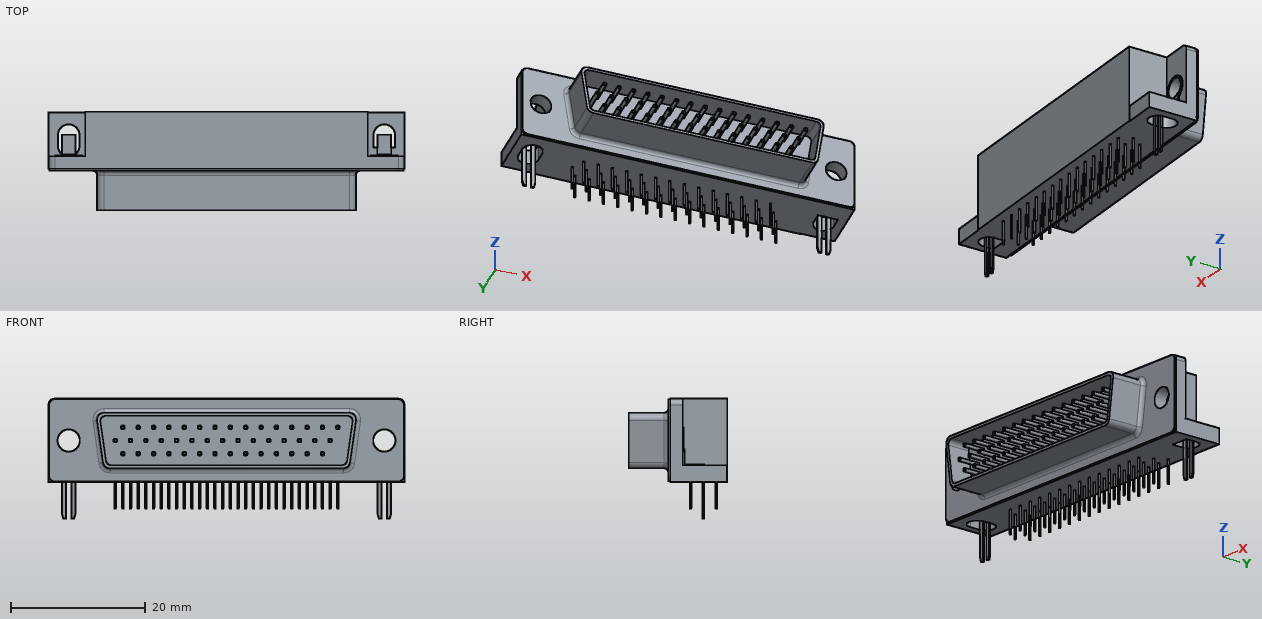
import cadquery as cq
import math


overall_length = 53.1
body_height = 12.5
body_length = 42.15
flange_back = 6.65
flange_front = 8.5
flange_corner = 0.95
foot_back = 0.1
foot_height = 2.55

plate_front = 8.8
plate_inset = 0.1
plate_corner = flange_corner - plate_inset

mount_x = 23.5
mount_z = 6.2
mount_diameter = 3.3

shell_front = 14.7
shell_height = 8.3
shell_mid_length = 37.75
shell_floor = 10.8
shell_wall = 0.5
shell_corner = 1.0
shell_inner_corner = 0.75
shell_side_angle = math.radians(8)
shell_root_fillet = 0.65

pin_diameter = 0.6
pin_tip_diameter = 0.4
pin_tip_length = 0.08
pin_front = 14.5
pins_in_long_row = 15
pins_in_short_row = 14
contact_span = 33.2
pin_pitch = contact_span / (pins_in_long_row - 0.5)
pin_row_spacing = 1.95
leg_diameter = 0.3
leg_tip_diameter = 0.2
leg_tip_length = 0.15
leg_length = 3.95
leg_row_spacing = 1.9
middle_leg_depth = 3.55

slot_width = 3.2
slot_back = 1.9
slot_front = 6.7
square_slot_front = 5.3

lock_thickness = 0.3
lock_head_thickness = 0.15
lock_width = 2.05
lock_head_diameter = 4.0
lock_rise = 0.15
lock_prong_width = 0.65
lock_prong_length = 5.4
lock_tip_length = 0.75
lock_tip_inset = 0.2


def box(x_center, length, depth_back, depth_front, z_bottom, z_top):
    """Block between two depths measured from the back of the body and two heights."""
    return (
        cq.Workplane("XY")
        .box(length, depth_front - depth_back, z_top - z_bottom, centered=(True, False, False))
        .translate((x_center, -depth_front, z_bottom))
    )


def cylinder_along_y(x, z, diameter, depth_back, depth_front):
    return (
        cq.Workplane("XZ", origin=(x, -depth_back, z))
        .circle(diameter / 2)
        .extrude(depth_front - depth_back)
    )


def d_prism(offset, corner, depth_back, depth_front):
    """Prism on the shell outline, moved inward by offset, wider at the top."""
    half_height = shell_height / 2 - offset
    half_mid = shell_mid_length / 2 - offset / math.cos(shell_side_angle)
    lean = half_height * math.tan(shell_side_angle)
    return (
        cq.Workplane("XZ", origin=(0, -depth_back, mount_z))
        .polyline([
            (-half_mid - lean, half_height),
            (half_mid + lean, half_height),
            (half_mid - lean, -half_height),
            (-half_mid + lean, -half_height),
        ])
        .close()
        .extrude(depth_front - depth_back)
        .edges("|Y")
        .fillet(corner)
    )


def tipped_rod(diameter, tip_diameter, tip_length, length):
    """Round rod along +Z from the origin with a conical tip."""
    return (
        cq.Workplane("XZ")
        .polyline([
            (0, 0),
            (diameter / 2, 0),
            (diameter / 2, length - tip_length),
            (tip_diameter / 2, length),
            (0, length),
        ])
        .close()
        .revolve(360, (0, 0), (0, 1))
        .val()
    )


def make_housing():
    body = box(0, body_length, 0, flange_front, 0, body_height)
    feet = box(0, overall_length, foot_back, flange_front, 0, foot_height)
    flange = box(0, overall_length, flange_back, flange_front, 0, body_height)
    flange = flange.edges("|Y and >Z").fillet(flange_corner)
    return body.union(feet).union(flange)


def make_face():
    """Face plate and shell with a rounded root, hollowed down to the pin face."""
    plate = box(
        0, overall_length - 2 * plate_inset, flange_front, plate_front,
        plate_inset, body_height - plate_inset,
    )
    plate = plate.edges("|Y").fillet(plate_corner)
    face = plate.union(d_prism(0, shell_corner, flange_front, shell_front))
    root_reach = shell_height / 2 + shell_root_fillet
    root_edges = cq.selectors.BoxSelector(
        (-mount_x, -plate_front - plate_inset, mount_z - root_reach),
        (mount_x, -plate_front + plate_inset, mount_z + root_reach),
    )
    face = face.edges(root_edges).fillet(shell_root_fillet)
    return face.cut(d_prism(shell_wall, shell_inner_corner, shell_floor, shell_front))


def make_foot_slot(side):
    """The left slot has two round ends; the right one is square toward the flange."""
    radius = slot_width / 2
    back = slot_back + radius
    if side < 0:
        front = slot_front - radius
        round_ends = [back, front]
    else:
        front = square_slot_front
        round_ends = [back]
    slot = box(side * mount_x, slot_width, back, front, 0, foot_height)
    for depth in round_ends:
        slot = slot.union(
            cq.Workplane("XY", origin=(side * mount_x, -depth, 0)).circle(radius).extrude(foot_height)
        )
    return slot


def make_lock(side):
    """Sheet lock: round head on the flange, leaf over the foot, two prongs below."""
    x = side * mount_x
    leaf_top = foot_height + lock_rise
    prong_back = middle_leg_depth - lock_thickness / 2
    head = cylinder_along_y(x, mount_z, lock_head_diameter, flange_back - lock_head_thickness, flange_back)
    neck = box(x, lock_width, flange_back - lock_thickness, flange_back, foot_height, mount_z)
    leaf = box(x, lock_width, prong_back, flange_back, leaf_top - lock_thickness, leaf_top)
    lock = head.union(neck).union(leaf)
    half = lock_width / 2
    for hand in (-1, 1):
        prong = (
            cq.Workplane("XZ", origin=(x, -prong_back, 0))
            .polyline([
                (hand * half, leaf_top),
                (hand * half, lock_tip_length - lock_prong_length),
                (hand * (half - lock_tip_inset), -lock_prong_length),
                (hand * (half - lock_prong_width), -lock_prong_length),
                (hand * (half - lock_prong_width), leaf_top),
            ])
            .close()
            .extrude(lock_thickness)
        )
        lock = lock.union(prong)
    return lock


def make_contacts():
    """Three staggered rows of pins, each with a solder leg below its own row."""
    pin = tipped_rod(pin_diameter, pin_tip_diameter, pin_tip_length, pin_front - shell_floor)
    pin = pin.rotate(cq.Vector(0, 0, 0), cq.Vector(1, 0, 0), 90)
    leg = tipped_rod(leg_diameter, leg_tip_diameter, leg_tip_length, leg_length)
    leg = leg.rotate(cq.Vector(0, 0, 0), cq.Vector(1, 0, 0), 180)
    first_x = -contact_span / 2
    stagger = pin_pitch / 2
    rows = [(1, pins_in_long_row, stagger), (0, pins_in_long_row, 0), (-1, pins_in_short_row, stagger)]
    contacts = []
    for level, count, shift in rows:
        for index in range(count):
            x = first_x + shift + index * pin_pitch
            leg_depth = middle_leg_depth - level * leg_row_spacing
            pin_z = mount_z + level * pin_row_spacing
            contacts.append(pin.translate(cq.Vector(x, -shell_floor, pin_z)))
            contacts.append(leg.translate(cq.Vector(x, -leg_depth, 0)))
    return contacts


result = make_housing().union(make_face())
for side in (-1, 1):
    result = result.cut(make_foot_slot(side)).union(make_lock(side))
    result = result.cut(cylinder_along_y(side * mount_x, mount_z, mount_diameter, 0, plate_front))
result = cq.Workplane(result.val().fuse(*make_contacts()))